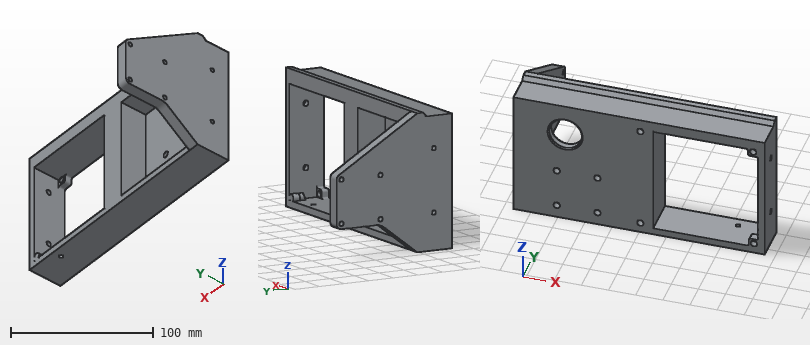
import cadquery as cq
import math

LENGTH = 185.18
HEIGHT = 100.0
BOX_DEPTH = 28.3
TOTAL_DEPTH = 93.92

FRONT_THICKNESS = 6.0
LEFT_WALL = 9.0
RIGHT_WALL = 5.0
FLOOR = 5.3
CEILING_Z = 89.0

RIDGE_HEIGHT = 3.0
RIDGE_WIDTH = 4.7

WINDOW_LEFT = 103.0
WINDOW_RIGHT = LENGTH - RIGHT_WALL
INSERT_LEFT_X = 93.5
BLOCK_LEFT = 2 * INSERT_LEFT_X - WINDOW_LEFT

INSERT_DIAMETER = 4.7
INSERT_DEPTH = FRONT_THICKNESS
INSERT_UPPER = (176.6, 87.2)
INSERT_LOWER = (177.2, 7.8)
TAB_REACH = 3.9
TAB_ROUND = 2.0
TAB_ROOT_ROUND = 1.2
ARC_OFFSET = 1 - math.sqrt(0.5)

POST_CENTER = (177.7, 7.2)
POST_DIAMETER = 6.2
POST_NECK_DIAMETER = 5.8
POST_STEP_Y = 22.8
POST_TIP_Y = 17.4
POST_TIP_TILT = math.radians(34)

LARGE_DIAMETER = 24.0
LARGE_CHAMFER = 1.0
LARGE_CENTER = (38.1, 72.8)
MOUNT_DIAMETER = 4.7
MOUNT_CENTER = (46.9, 25.0)
MOUNT_SPACING = 30.0

LEFT_SCREW_DIAMETER = 3.2
RIGHT_SCREW_DIAMETER = 4.0
END_SCREW_Y = 14.8
END_SCREW_HEIGHTS = (27.3, 73.6)
FLOOR_SCREW_DIAMETER = 3.2
FLOOR_SCREW_CENTER = (159.0, 21.0)

PLATE_THICKNESS = 9.0
PLATE_ROUND = 4.0
PLATE_BEND_ROUND = 10.0
PLATE_SCREW_DIAMETER = 3.4
PLATE_SCREW_SPACING = 31.7
PLATE_REAR_Y = TOTAL_DEPTH - PLATE_ROUND
PLATE_LOW_Z = 27.0
PLATE_FRONT_Y = PLATE_REAR_Y - PLATE_SCREW_SPACING
PLATE_HIGH_Z = PLATE_LOW_Z + PLATE_SCREW_SPACING


def block(x_range, y_range, z_range):
    """Axis-aligned block between the given limits."""
    size = [high - low for low, high in (x_range, y_range, z_range)]
    corner = (x_range[0], y_range[0], z_range[0])
    return cq.Workplane("XY").box(*size, centered=False).translate(corner)


def rod_y(center, diameter, y_start, y_end):
    """Cylinder along Y around an (x, z) centre."""
    x, z = center
    start = cq.Vector(x, y_start, z)
    rod = cq.Solid.makeCylinder(diameter / 2, y_end - y_start, start, cq.Vector(0, 1, 0))
    return cq.Workplane(rod)


def rod_x(center, diameter, x_start, x_end):
    """Cylinder along X around a (y, z) centre."""
    y, z = center
    start = cq.Vector(x_start, y, z)
    rod = cq.Solid.makeCylinder(diameter / 2, x_end - x_start, start, cq.Vector(1, 0, 0))
    return cq.Workplane(rod)


def outer_box():
    """Box profile with the rear ridge, extruded along the length."""
    top = HEIGHT - RIDGE_HEIGHT
    ridge_front = BOX_DEPTH - RIDGE_WIDTH
    profile = [
        (0, 0),
        (BOX_DEPTH, 0),
        (BOX_DEPTH, HEIGHT),
        (ridge_front, HEIGHT),
        (ridge_front - RIDGE_HEIGHT, top),
        (0, top),
    ]
    return cq.Workplane("YZ").polyline(profile).close().extrude(LENGTH)


def left_pocket():
    """Rear pocket between the left wall and the solid block."""
    return block((LEFT_WALL, BLOCK_LEFT), (FRONT_THICKNESS, BOX_DEPTH), (FLOOR, CEILING_Z))


def window():
    """Opening through the full depth of the box."""
    return block((WINDOW_LEFT, WINDOW_RIGHT), (0, BOX_DEPTH), (FLOOR, CEILING_Z))


def corner_tab(insert, wall_z, toward_center):
    """Front tab in a right-hand window corner; toward_center is the Z sign leading into the window."""
    x, z = insert
    left = x - TAB_REACH
    edge = z + toward_center * TAB_REACH
    root = TAB_ROOT_ROUND
    root_offset = root * ARC_OFFSET
    round_offset = TAB_ROUND * ARC_OFFSET
    outline = (
        cq.Workplane("XZ")
        .moveTo(left - root, wall_z)
        .threePointArc(
            (left - root_offset, wall_z + toward_center * root_offset),
            (left, wall_z + toward_center * root),
        )
        .lineTo(left, edge - toward_center * TAB_ROUND)
        .threePointArc(
            (left + round_offset, edge - toward_center * round_offset),
            (left + TAB_ROUND, edge),
        )
        .lineTo(WINDOW_RIGHT - root, edge)
        .threePointArc(
            (WINDOW_RIGHT - root_offset, edge + toward_center * root_offset),
            (WINDOW_RIGHT, edge + toward_center * root),
        )
        .lineTo(WINDOW_RIGHT, wall_z)
        .close()
    )
    return outline.extrude(-FRONT_THICKNESS)


def corner_post():
    """Stepped rear post whose narrower front end faces slightly up and to the left."""
    x, z = POST_CENTER
    base = rod_y(POST_CENTER, POST_DIAMETER, POST_STEP_Y, BOX_DEPTH)
    neck = rod_y(POST_CENTER, POST_NECK_DIAMETER, FRONT_THICKNESS, POST_STEP_Y)
    tilt = math.tan(POST_TIP_TILT) * math.sqrt(0.5)
    slope = cq.Plane(origin=(x, POST_TIP_Y, z), xDir=(1, 0, 1), normal=(-tilt, -1, tilt))
    tip_cutter = cq.Workplane(slope).rect(HEIGHT, HEIGHT).extrude(HEIGHT)
    return neck.cut(tip_cutter).union(base)


def large_hole():
    """Through hole in the front wall with a chamfered front rim."""
    x, z = LARGE_CENTER
    radius = LARGE_DIAMETER / 2
    rim = cq.Solid.makeCone(
        radius + LARGE_CHAMFER, radius, LARGE_CHAMFER, cq.Vector(x, 0, z), cq.Vector(0, 1, 0)
    )
    return rod_y(LARGE_CENTER, LARGE_DIAMETER, 0, FRONT_THICKNESS).union(cq.Workplane(rim))


def round_point(center, angle):
    """Point on a plate corner round at the given angle from +Y towards +Z."""
    y = center[0] + PLATE_ROUND * math.cos(angle)
    z = center[1] + PLATE_ROUND * math.sin(angle)
    return (y, z)


def upper_tangent_angle(start, center):
    """Angle on a corner round where the upper tangent line from the start point touches it."""
    dy = start[0] - center[0]
    dz = start[1] - center[1]
    return math.atan2(dz, dy) - math.acos(PLATE_ROUND / math.hypot(dy, dz))


def side_plate():
    """Tapered plate carrying four screw holes."""
    upper = (PLATE_REAR_Y, PLATE_HIGH_Z)
    lower = (PLATE_REAR_Y, PLATE_LOW_Z)
    down = -math.pi / 2
    upper_angle = upper_tangent_angle((BOX_DEPTH, HEIGHT), upper)
    bend = (PLATE_FRONT_Y, PLATE_LOW_Z - PLATE_ROUND)
    plate = (
        cq.Workplane("YZ")
        .moveTo(BOX_DEPTH, 0)
        .lineTo(*bend)
        .lineTo(*round_point(lower, down))
        .threePointArc(round_point(lower, down / 2), round_point(lower, 0))
        .lineTo(*round_point(upper, 0))
        .threePointArc(round_point(upper, upper_angle / 2), round_point(upper, upper_angle))
        .lineTo(BOX_DEPTH, HEIGHT)
        .close()
        .extrude(PLATE_THICKNESS)
    )
    bend_edge = cq.selectors.NearestToPointSelector((PLATE_THICKNESS / 2, *bend))
    plate = plate.edges(bend_edge).fillet(PLATE_BEND_ROUND)
    for y in (PLATE_FRONT_Y, PLATE_REAR_Y):
        for z in (PLATE_LOW_Z, PLATE_HIGH_Z):
            plate = plate.cut(rod_x((y, z), PLATE_SCREW_DIAMETER, 0, PLATE_THICKNESS))
    return plate


def cut_front_holes(body):
    """Large hole, mounting holes and insert holes, all entering from the front."""
    body = body.cut(large_hole())
    for x_side in (-1, 1):
        for z_side in (-1, 1):
            x = MOUNT_CENTER[0] + x_side * MOUNT_SPACING / 2
            z = MOUNT_CENTER[1] + z_side * MOUNT_SPACING / 2
            body = body.cut(rod_y((x, z), MOUNT_DIAMETER, 0, FRONT_THICKNESS))
    left_inserts = [(INSERT_LEFT_X, z) for _, z in (INSERT_UPPER, INSERT_LOWER)]
    for center in left_inserts + [INSERT_UPPER, INSERT_LOWER]:
        body = body.cut(rod_y(center, INSERT_DIAMETER, 0, INSERT_DEPTH))
    return body


def cut_wall_holes(body):
    """Screw holes through the end walls and the floor."""
    for z in END_SCREW_HEIGHTS:
        center = (END_SCREW_Y, z)
        body = body.cut(rod_x(center, LEFT_SCREW_DIAMETER, 0, LEFT_WALL))
        body = body.cut(rod_x(center, RIGHT_SCREW_DIAMETER, WINDOW_RIGHT, LENGTH))
    floor_plane = cq.Workplane("XY").center(*FLOOR_SCREW_CENTER)
    floor_hole = floor_plane.circle(FLOOR_SCREW_DIAMETER / 2).extrude(FLOOR)
    return body.cut(floor_hole)


body = outer_box().cut(left_pocket()).cut(window())
body = body.union(corner_tab(INSERT_UPPER, CEILING_Z, -1))
body = body.union(corner_tab(INSERT_LOWER, FLOOR, 1))
body = body.union(corner_post())
body = body.union(side_plate())
body = cut_front_holes(body)
result = cut_wall_holes(body)